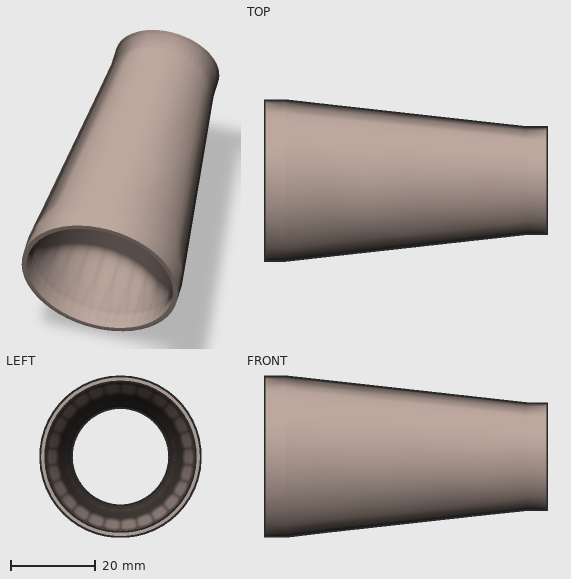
import cadquery as cq
import math

length = 67.0
collar_length = 5.0
large_diameter = 38.1
small_diameter = 25.4
wall = 1.2
blend_radius = 2.0

large_radius = large_diameter / 2
small_radius = small_diameter / 2
cone_start = collar_length
cone_end = length - collar_length
taper_angle = math.atan2(large_radius - small_radius, cone_end - cone_start)

blend_setback = blend_radius * math.tan(taper_angle / 2)
setback_x = blend_setback * math.cos(taper_angle)
setback_r = blend_setback * math.sin(taper_angle)


def make_outer_body():
    """Solid collars and cone, with tangent arcs where they meet."""
    profile = (
        cq.Workplane("XZ")
        .lineTo(0, large_radius)
        .lineTo(cone_start - blend_setback, large_radius)
        .tangentArcPoint((cone_start + setback_x, large_radius - setback_r), relative=False)
        .lineTo(cone_end - setback_x, small_radius + setback_r)
        .tangentArcPoint((cone_end + blend_setback, small_radius), relative=False)
        .lineTo(length, small_radius)
        .lineTo(length, 0)
        .close()
    )
    return profile.revolve(360, (0, 0, 0), (1, 0, 0))


def make_bore():
    """Through bore: straight inside the collars, tapered between them."""
    large_bore_radius = large_radius - wall
    small_bore_radius = small_radius - wall
    profile = (
        cq.Workplane("XZ")
        .lineTo(0, large_bore_radius)
        .lineTo(cone_start, large_bore_radius)
        .lineTo(cone_end, small_bore_radius)
        .lineTo(length, small_bore_radius)
        .lineTo(length, 0)
        .close()
    )
    return profile.revolve(360, (0, 0, 0), (1, 0, 0))


result = make_outer_body().cut(make_bore())